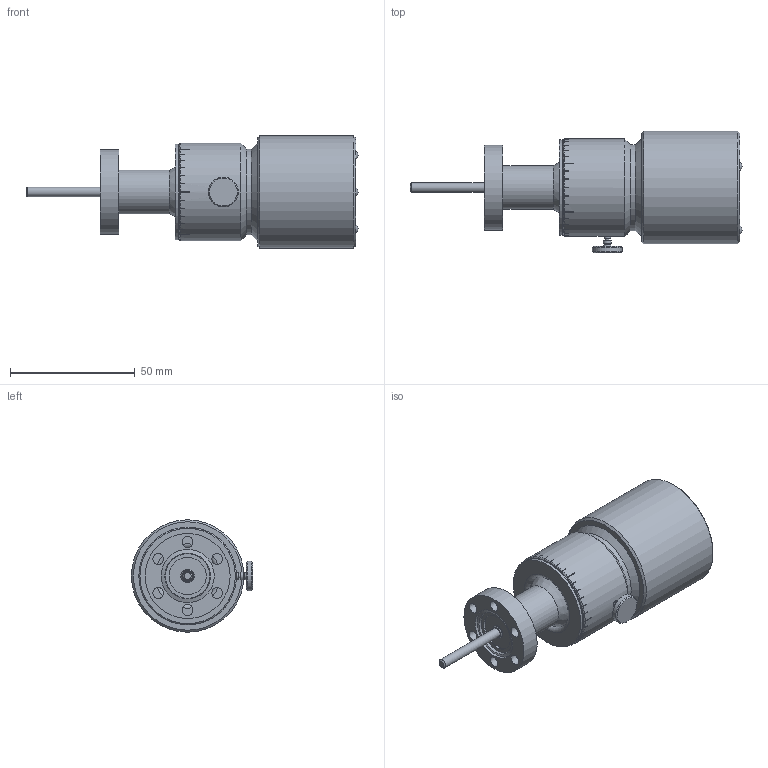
import cadquery as cq
import math


shaft_radius = 1.9
shaft_length = 29.7
shaft_tip_chamfer = 0.5

flange_radius = 17.0
flange_thickness = 7.5
bolt_count = 6
bolt_circle_radius = 13.6
bolt_hole_diameter = 4.3
recess_radius = 10.65
recess_depth = 1.2
knife_radius = 9.15
knife_depth = 0.65
knife_root_radius = 8.9
seal_floor_depth = 1.7
bore_radius = 7.45
bore_depth = 2.4
shaft_collar_radius = 2.7
shaft_collar_height = 0.8
shaft_collar_chamfer = 0.4

neck_radius = 8.75
flare_start = 27.7

ring_start = 30.0
ring_end = 31.2
ring_radius = 19.1
ring_mouth_radius = 12.9
mouth_rounding = 1.8
gap_radius = 18.9
sleeve_start = 31.7
sleeve_end = 56.3
sleeve_radius = 19.5
sleeve_chamfer = 0.4

waist_start = 58.5
waist_end = 60.5
waist_radius = 17.2

knob_start = 63.0
knob_end = 102.3
knob_radius = 22.5
knob_chamfer = 0.8
knob_throat_radius = 19.5

screw_count = 3
screw_circle_radius = 17.0
screw_head_radius = 1.8
screw_head_height = 0.9
screw_embed = 0.5

mark_count = 36
marks_per_long_mark = 6
mark_width = 0.12
mark_depth = 0.2
short_mark_end = 33.8
long_mark_end = 35.8

thumb_x = 49.3
thumb_head_radius = 6.0
thumb_head_inner = 23.5
thumb_head_outer = 26.0
thumb_head_chamfer = 0.4
thumb_root = 17.0
thread_radius = 1.3
thread_end = 20.3
thumb_neck_radius = 0.8
collar_start = 21.0
collar_end = 22.7
collar_radius = 1.6
collar_chamfer = 0.3


def turned_body():
    """Shaft, flange, neck, sleeve, waist and knob as one turned outline."""
    collar_front = bore_depth - shaft_collar_height
    shaft = [
        (-shaft_length, 0),
        (-shaft_length, shaft_radius - shaft_tip_chamfer),
        (-shaft_length + shaft_tip_chamfer, shaft_radius),
        (collar_front, shaft_radius),
        (collar_front, shaft_collar_radius - shaft_collar_chamfer),
        (collar_front + shaft_collar_chamfer, shaft_collar_radius),
        (bore_depth, shaft_collar_radius),
    ]
    seal = [
        (bore_depth, bore_radius),
        (seal_floor_depth, bore_radius),
        (seal_floor_depth, knife_root_radius),
        (knife_depth, knife_radius),
        (recess_depth, recess_radius),
        (0, recess_radius),
    ]
    flange_and_neck = [
        (0, flange_radius),
        (flange_thickness, flange_radius),
        (flange_thickness, neck_radius),
        (flare_start, neck_radius),
        (ring_start + mouth_rounding, ring_mouth_radius - mouth_rounding),
    ]
    arc_inset = mouth_rounding * (1 - math.sqrt(0.5))
    mouth_arc_middle = (ring_start + arc_inset, ring_mouth_radius - mouth_rounding + arc_inset)
    sleeve = [
        (ring_start, ring_radius),
        (ring_end, ring_radius),
        (ring_end, gap_radius),
        (sleeve_start, gap_radius),
        (sleeve_start, sleeve_radius - sleeve_chamfer),
        (sleeve_start + sleeve_chamfer, sleeve_radius),
        (sleeve_end, sleeve_radius),
    ]
    waist = [
        (waist_start, waist_radius),
        (waist_end, waist_radius),
        (knob_start, knob_throat_radius),
    ]
    knob = [
        (knob_start, knob_radius - knob_chamfer),
        (knob_start + knob_chamfer, knob_radius),
        (knob_end - knob_chamfer, knob_radius),
        (knob_end, knob_radius - knob_chamfer),
        (knob_end, 0),
    ]
    return (
        cq.Workplane("XY")
        .polyline(shaft + seal + flange_and_neck)
        .threePointArc(mouth_arc_middle, (ring_start, ring_mouth_radius))
        .polyline(sleeve + waist + knob, includeCurrent=True)
        .close()
        .revolve(360, (0, 0, 0), (1, 0, 0))
    )


def bolt_holes():
    """Through holes in the flange, one of them straight above the axis."""
    return (
        cq.Workplane("YZ")
        .polarArray(bolt_circle_radius, 90, 360, bolt_count)
        .circle(bolt_hole_diameter / 2)
        .extrude(flange_thickness)
    )


def graduation_marks():
    """Engraved lines round the sleeve; every sixth one is long."""
    marks = cq.Workplane("XY")
    for index in range(mark_count):
        mark_end = short_mark_end
        if index % marks_per_long_mark == 0:
            mark_end = long_mark_end
        mark = (
            cq.Workplane("XY")
            .box(mark_end - sleeve_start, 2 * mark_depth, mark_width, centered=(False, True, True))
            .translate((sleeve_start, -sleeve_radius, 0))
            .rotate((0, 0, 0), (1, 0, 0), index * 360 / mark_count)
        )
        marks = marks.add(mark)
    return marks.combine()


def cover_screws():
    """Domed screw heads on the end face of the knob, one of them on the -Y side."""
    dome_radius = (screw_head_radius**2 + screw_head_height**2) / (2 * screw_head_height)
    dome_half_angle = math.asin(screw_head_radius / dome_radius) / 2
    dome_top = knob_end + screw_head_height
    arc_middle = (
        dome_top - dome_radius * (1 - math.cos(dome_half_angle)),
        dome_radius * math.sin(dome_half_angle),
    )
    head = (
        cq.Workplane("XY")
        .moveTo(knob_end - screw_embed, 0)
        .lineTo(knob_end - screw_embed, screw_head_radius)
        .lineTo(knob_end, screw_head_radius)
        .threePointArc(arc_middle, (dome_top, 0))
        .close()
        .revolve(360, (0, 0, 0), (1, 0, 0))
        .translate((0, -screw_circle_radius, 0))
    )
    heads = cq.Workplane("XY")
    for index in range(screw_count):
        heads = heads.add(head.rotate((0, 0, 0), (1, 0, 0), index * 360 / screw_count))
    return heads.combine()


def thumbscrew():
    """Thread, thin neck, collar and round head, turned about an axis along -Y."""
    outline = [
        (0, thumb_root),
        (thread_radius, thumb_root),
        (thread_radius, thread_end),
        (thumb_neck_radius, thread_end),
        (thumb_neck_radius, collar_start),
        (collar_radius - collar_chamfer, collar_start),
        (collar_radius, collar_start + collar_chamfer),
        (collar_radius, collar_end - collar_chamfer),
        (collar_radius - collar_chamfer, collar_end),
        (collar_radius, thumb_head_inner),
        (thumb_head_radius - thumb_head_chamfer, thumb_head_inner),
        (thumb_head_radius, thumb_head_inner + thumb_head_chamfer),
        (thumb_head_radius, thumb_head_outer - thumb_head_chamfer),
        (thumb_head_radius - thumb_head_chamfer, thumb_head_outer),
        (0, thumb_head_outer),
    ]
    points = [(thumb_x + radius, -distance) for radius, distance in outline]
    axis_start = (thumb_x, 0, 0)
    axis_end = (thumb_x, 1, 0)
    return cq.Workplane("XY").polyline(points).close().revolve(360, axis_start, axis_end)


result = (
    turned_body()
    .cut(bolt_holes())
    .cut(graduation_marks())
    .union(cover_screws())
    .union(thumbscrew())
)